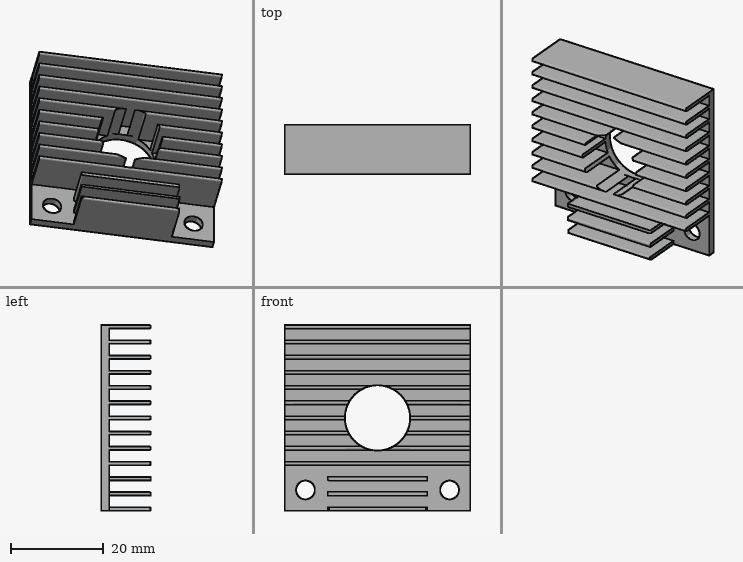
import cadquery as cq

WIDTH = 40.0
HEIGHT = 40.0
DEPTH = 10.7
PLATE_THICKNESS = 1.8

FIN_COUNT = 13
SHORT_FIN_COUNT = 3
FIN_THICKNESS = 0.8
FIN_PITCH = (HEIGHT - FIN_THICKNESS) / (FIN_COUNT - 1)
SHORT_FIN_WIDTH = 21.5
TIP_RADIUS = 0.39

BORE_DIAMETER = 14.0
MOUNT_HOLE_DIAMETER = 4.0
MOUNT_HOLE_OFFSET = 15.5


def make_plate():
    """Flat base plate standing on Z = 0."""
    plate = cq.Workplane("XY").box(WIDTH, PLATE_THICKNESS, HEIGHT, centered=(True, False, False))
    return plate.translate((0, -PLATE_THICKNESS, 0))


def make_fin(index, width):
    """Square-edged fin; it reaches through the plate to the back face."""
    fin = cq.Workplane("XY").box(width, DEPTH, FIN_THICKNESS, centered=(True, False, False))
    return fin.translate((0, -DEPTH, index * FIN_PITCH))


def make_long_fin(index):
    """Full-width fin with both long tip edges rounded."""
    return make_fin(index, WIDTH).faces("<Y").edges("|X").fillet(TIP_RADIUS)


def make_bottom_fin():
    """Short fin with all four edges of its tip face rounded."""
    return make_fin(0, SHORT_FIN_WIDTH).faces("<Y").edges().fillet(TIP_RADIUS)


def make_middle_fin():
    """Short fin with only the upper tip edge rounded."""
    return make_fin(1, SHORT_FIN_WIDTH).faces("<Y").edges(">Z").fillet(TIP_RADIUS)


def make_upper_fin():
    """Short fin with its +X tip corner and its lower -X edge rounded."""
    fin = make_fin(2, SHORT_FIN_WIDTH)
    fin = fin.faces("<Y").edges(">X").fillet(TIP_RADIUS)
    return fin.faces("<X").edges("<Z").fillet(TIP_RADIUS)


def make_hole(diameter, x, z):
    """Cylinder along Y, long enough to pass through plate and fins."""
    return cq.Workplane("XZ", origin=(x, 0, z)).circle(diameter / 2).extrude(DEPTH)


result = make_plate()

for short_fin in (make_bottom_fin(), make_middle_fin(), make_upper_fin()):
    result = result.union(short_fin)

for fin_index in range(SHORT_FIN_COUNT, FIN_COUNT):
    result = result.union(make_long_fin(fin_index))

result = result.cut(make_hole(BORE_DIAMETER, 0, HEIGHT / 2))

for side in (-1, 1):
    mount_hole = make_hole(MOUNT_HOLE_DIAMETER, side * MOUNT_HOLE_OFFSET, HEIGHT / 2 - MOUNT_HOLE_OFFSET)
    result = result.cut(mount_hole)